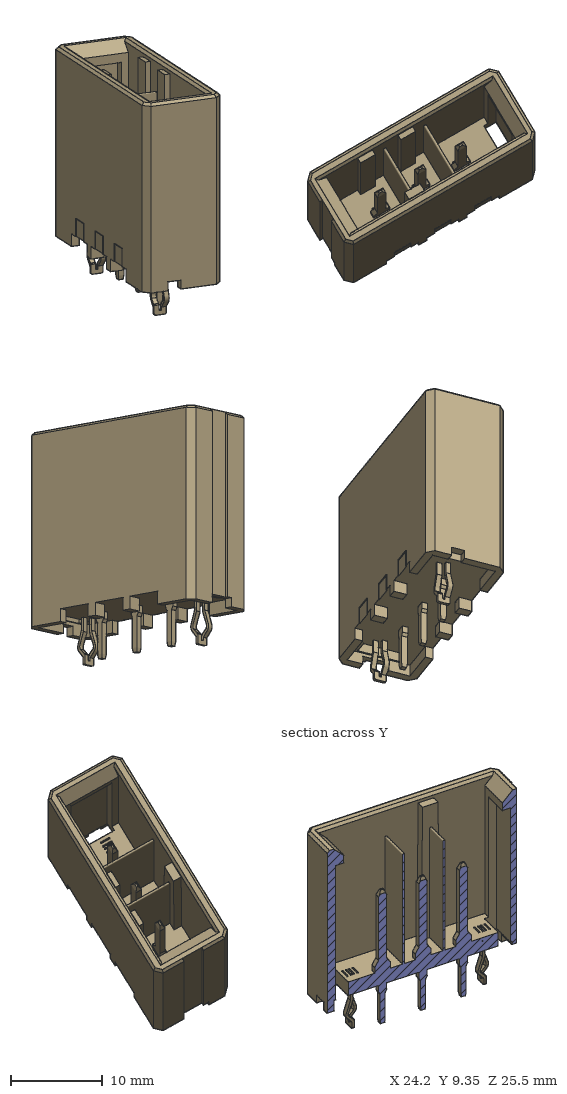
import cadquery as cq

LENGTH = 24.15
WIDTH = 9.35
TOP = 25.45
FOOT = 3.85
FLOOR_BOTTOM = 5.27
FLOOR_TOP = 7.13
CORNER = 0.76
RIM = 0.3
SKIRT = 0.92

CAVITY_LENGTH = 19.9
CAVITY_WIDTH = 6.82
LEAD_END = 1.3
LEAD_SIDE = 0.3
WINDOW_WIDTH = 5.17
WINDOW_INSET = 0.5
WINDOW_DEPTH = 1.02
WINDOW_TOP = 23.1

PITCH = 5.1
CONTACT_XS = (-PITCH, 0, PITCH)
PIN_Y = 0.18
PIN_THICK = 0.69
PIN_WIDTH = 1.07
TAIL_END = 0.1
TAIL_SHOULDER = 4.07
TAIL_WIDE = 4.45
TAIL_TAPER = 0.45
TAIL_TIP = 0.53
SHOULDER_WIDTH = 2.04
SHOULDER_HEIGHT = 0.76
SHOULDER_TAPER = 0.76
PIN_TOP = 17.82
PIN_TAPER = 0.76
PIN_TIP = 0.4
SIDE_GROOVE = (1.32, 0.15, 0.25)
SIDE_GROOVE_OFFSET = 0.59

DIVIDER = 0.3
DIVIDER_SHIFT = -0.08
DIVIDER_ROUND = 0.13
DIVIDER_TOP = 21.75
KEY_TOP = 24.76
REAR_KEY = (1.85, 0.6)
FRONT_KEY_TOP_WIDTH = 1.95
FRONT_KEY_BASE_WIDTH = 2.21
FRONT_KEY_DEPTH = 0.97

NOTCH = 4.05
POST_DEPTH = 1.53
LABEL = 2.05
LABEL_DEPTH = 0.1
CHANNEL = 2.45
CHANNEL_Y = 0.03
CHANNEL_DEPTH = 0.3
END_NOTCH_TOP = 4.85

CLIP_X = 8.3
CLIP_FRONT = -1.88
CLIP_BACK = -0.43
CLIP_MID = (CLIP_FRONT + CLIP_BACK) / 2
CLIP_GAP = 0.28
CLIP_GAP_ROUND = 0.13
CLIP_GAP_END = 0.48
CLIP_TAIL_TOP = 1.15
CLIP_THICK = 0.3
CLIP_NECK = 0.05
BULGE_INNER = 0.6
BULGE_OUTER = BULGE_INNER + CLIP_THICK
BULGE_Z = 2.09
BULGE_RISE = 0.3
BULGE_SAG = 0.08
INNER_NECK_Z = 3.7
OUTER_NECK_Z = 3.87
INNER_FORK_Z = 1.27
OUTER_FORK_Z = 0.87
OUTER_LOWER_X = 0.64
OUTER_LOWER_Z = 1.43
CLIP_CORNER = 0.2
CLIP_NOTCH_BACK = -0.33
CLIP_SLOT = (0.64, 1.12, 0.5)
CLIP_SLOT_OFFSET = 0.4
OVERLAP = 0.25


def block(x0, x1, y0, y1, z0, z1):
    return cq.Workplane("XY").box(x1 - x0, y1 - y0, z1 - z0, centered=False).translate((x0, y0, z0))


def centred_block(x, y, size_x, size_y, z0, z1):
    return block(x - size_x / 2, x + size_x / 2, y - size_y / 2, y + size_y / 2, z0, z1)


def frustum(x, y, z0, z1, base, tip):
    return (
        cq.Workplane("XY", origin=(x, y, z0)).rect(*base)
        .workplane(offset=z1 - z0).rect(*tip).loft(combine=True)
    )


def make_shell():
    shell = centred_block(0, 0, LENGTH, WIDTH, FOOT, TOP)
    shell = shell.edges("|Z").chamfer(CORNER).faces(">Z").edges().chamfer(RIM)
    shell = shell.cut(centred_block(0, 0, CAVITY_LENGTH, CAVITY_WIDTH, FLOOR_TOP, TOP))
    mouth_length = CAVITY_LENGTH + 2 * LEAD_END
    mouth_width = CAVITY_WIDTH + 2 * LEAD_SIDE
    end_bevels = (
        cq.Workplane("XZ")
        .polyline([(-mouth_length / 2, TOP), (mouth_length / 2, TOP),
                   (CAVITY_LENGTH / 2, TOP - LEAD_END), (-CAVITY_LENGTH / 2, TOP - LEAD_END)])
        .close().extrude(mouth_width / 2, both=True)
    )
    side_bevels = (
        cq.Workplane("YZ")
        .polyline([(-mouth_width / 2, TOP), (mouth_width / 2, TOP),
                   (CAVITY_WIDTH / 2, TOP - LEAD_SIDE), (CAVITY_WIDTH / 2, FLOOR_TOP),
                   (-CAVITY_WIDTH / 2, FLOOR_TOP), (-CAVITY_WIDTH / 2, TOP - LEAD_SIDE)])
        .close().extrude(mouth_length / 2, both=True)
    )
    shell = shell.cut(end_bevels.intersect(side_bevels))
    hollow = centred_block(0, 0, LENGTH - 2 * SKIRT, WIDTH - 2 * SKIRT, FOOT, FLOOR_BOTTOM)
    return shell.cut(hollow)


def add_posts(shell):
    """Posts between the contacts, just inside both long skirt walls."""
    post_width = PITCH - NOTCH
    post_y = WIDTH / 2 - POST_DEPTH / 2
    for x in (-PITCH / 2, PITCH / 2):
        for y in (-post_y, post_y):
            shell = shell.union(centred_block(x, y, post_width, POST_DEPTH, FOOT, FLOOR_BOTTOM))
    return shell


def cut_outside(shell):
    front = -WIDTH / 2
    for x in CONTACT_XS:
        shell = shell.cut(centred_block(x, 0, NOTCH, WIDTH, FOOT, FLOOR_BOTTOM))
        label_top = FLOOR_BOTTOM + LABEL
        shell = shell.cut(centred_block(x, front, LABEL, 2 * LABEL_DEPTH, FLOOR_BOTTOM, label_top))
    left = -LENGTH / 2
    channel_front = CHANNEL_Y - CHANNEL / 2
    channel_back = CHANNEL_Y + CHANNEL / 2
    shell = shell.cut(block(left, left + CHANNEL_DEPTH, channel_front, channel_back, FOOT, TOP))
    shell = shell.cut(block(left, left + SKIRT, CLIP_FRONT, channel_back, FOOT, END_NOTCH_TOP))
    right = LENGTH / 2
    return shell.cut(block(right - SKIRT, right, CLIP_FRONT, CLIP_NOTCH_BACK, FOOT, END_NOTCH_TOP))


def cut_windows(shell):
    wall = CAVITY_LENGTH / 2
    window_x = wall + (WINDOW_DEPTH - WINDOW_INSET) / 2
    window_length = WINDOW_DEPTH + WINDOW_INSET
    for side in (-1, 1):
        window = centred_block(side * window_x, 0, window_length, WINDOW_WIDTH, FLOOR_BOTTOM, WINDOW_TOP)
        shell = shell.cut(window)
    return shell


def add_dividers_and_keys(shell):
    for x in (-PITCH / 2 + DIVIDER_SHIFT, PITCH / 2 + DIVIDER_SHIFT):
        divider = centred_block(x, 0, DIVIDER, CAVITY_WIDTH + OVERLAP, FLOOR_TOP - OVERLAP, DIVIDER_TOP)
        shell = shell.union(divider.faces(">Z").edges("|Y").fillet(DIVIDER_ROUND))
    back = CAVITY_WIDTH / 2
    key_width, key_depth = REAR_KEY
    for x in (-PITCH, 0):
        key_left = x - key_width / 2
        key_right = x + key_width / 2
        shell = shell.union(
            block(key_left, key_right, back - key_depth, back + OVERLAP, FLOOR_TOP, KEY_TOP))
    half_top = FRONT_KEY_TOP_WIDTH / 2
    half_base = FRONT_KEY_BASE_WIDTH / 2
    front_key = (
        cq.Workplane("XZ", origin=(-PITCH / 2, -back - OVERLAP, 0))
        .polyline([(-half_base, FLOOR_TOP), (half_base, FLOOR_TOP),
                   (half_top, KEY_TOP), (-half_top, KEY_TOP)])
        .close().extrude(-FRONT_KEY_DEPTH - OVERLAP)
    )
    return shell.union(front_key)


def make_contact(x):
    square = (PIN_THICK, PIN_THICK)
    blade = (PIN_WIDTH, PIN_THICK)
    shoulder = (SHOULDER_WIDTH, PIN_THICK)
    tail_tip = (TAIL_TIP, TAIL_TIP)
    tail_start = TAIL_END + TAIL_TAPER
    shoulder_top = FLOOR_TOP + SHOULDER_HEIGHT
    contact = centred_block(x, PIN_Y, *square, tail_start, TAIL_WIDE)
    contact = contact.union(frustum(x, PIN_Y, TAIL_END, tail_start, tail_tip, square))
    contact = contact.union(frustum(x, PIN_Y, TAIL_SHOULDER, TAIL_WIDE, square, blade))
    contact = contact.union(centred_block(x, PIN_Y, *blade, TAIL_WIDE, PIN_TOP - PIN_TAPER))
    contact = contact.union(centred_block(x, PIN_Y, *shoulder, FLOOR_TOP - OVERLAP, shoulder_top))
    contact = contact.union(
        frustum(x, PIN_Y, shoulder_top, shoulder_top + SHOULDER_TAPER, shoulder, blade))
    return contact.union(
        frustum(x, PIN_Y, PIN_TOP - PIN_TAPER, PIN_TOP, blade, (PIN_TIP, PIN_TIP / 2)))


def make_clip_arm(side, y0, y1):
    """One bowed arm, from the clip tail up into the floor; side is its bulge direction."""
    neck_outer = CLIP_NECK + CLIP_THICK
    neck_top = FLOOR_BOTTOM + OVERLAP
    upper_z = BULGE_Z + BULGE_RISE
    lower_z = BULGE_Z - BULGE_RISE
    inner_end = BULGE_INNER - BULGE_SAG
    return (
        cq.Workplane("XZ", origin=(0, y1, 0))
        .moveTo(0, INNER_FORK_Z)
        .lineTo(side * inner_end, lower_z)
        .threePointArc((side * BULGE_INNER, BULGE_Z), (side * inner_end, upper_z))
        .lineTo(side * CLIP_NECK, INNER_NECK_Z)
        .lineTo(side * CLIP_NECK, neck_top)
        .lineTo(side * neck_outer, neck_top)
        .lineTo(side * neck_outer, OUTER_NECK_Z)
        .lineTo(side * (BULGE_OUTER - BULGE_SAG), upper_z)
        .threePointArc((side * BULGE_OUTER, BULGE_Z), (side * OUTER_LOWER_X, OUTER_LOWER_Z))
        .lineTo(side * CLIP_THICK / 2, OUTER_FORK_Z)
        .lineTo(-side * CLIP_THICK / 2, OUTER_FORK_Z)
        .close().extrude(y1 - y0)
    )


def make_clip(x):
    tail_width = CLIP_BACK - CLIP_FRONT
    tail = centred_block(0, CLIP_MID, CLIP_THICK, tail_width, 0, CLIP_TAIL_TOP)
    tail = tail.faces("<Z").edges("|X").fillet(CLIP_CORNER)
    gap = centred_block(0, CLIP_MID, CLIP_THICK, CLIP_GAP, CLIP_GAP_END, CLIP_TAIL_TOP)
    tail = tail.cut(gap.faces("<Z").edges("|X").fillet(CLIP_GAP_ROUND))
    clip = tail.union(make_clip_arm(-1, CLIP_FRONT, CLIP_MID - CLIP_GAP / 2))
    clip = clip.union(make_clip_arm(1, CLIP_MID + CLIP_GAP / 2, CLIP_BACK))
    return clip.translate((x, 0, 0))


def cut_floor_details(shell):
    groove_x, groove_y, groove_depth = SIDE_GROOVE
    for x in CONTACT_XS:
        for offset in (-SIDE_GROOVE_OFFSET, SIDE_GROOVE_OFFSET):
            y = PIN_Y + offset
            shell = shell.cut(centred_block(x, y, groove_x, groove_y, FLOOR_TOP - groove_depth, FLOOR_TOP))
    slot_x, slot_y, slot_depth = CLIP_SLOT
    for x in (-CLIP_X, CLIP_X):
        for offset in (-CLIP_SLOT_OFFSET, CLIP_SLOT_OFFSET):
            slot = centred_block(x + offset, CLIP_MID, slot_x, slot_y, FLOOR_TOP - slot_depth, FLOOR_TOP)
            strip = centred_block(x + offset, CLIP_MID, CLIP_THICK, slot_y, FLOOR_TOP - slot_depth, FLOOR_TOP)
            shell = shell.cut(slot.cut(strip))
    return shell


result = make_shell()
result = add_posts(result)
result = cut_outside(result)
result = add_dividers_and_keys(result)
result = cut_windows(result)
result = cut_floor_details(result)
for contact_x in CONTACT_XS:
    result = result.union(make_contact(contact_x))
for clip_x in (-CLIP_X, CLIP_X):
    result = result.union(make_clip(clip_x))